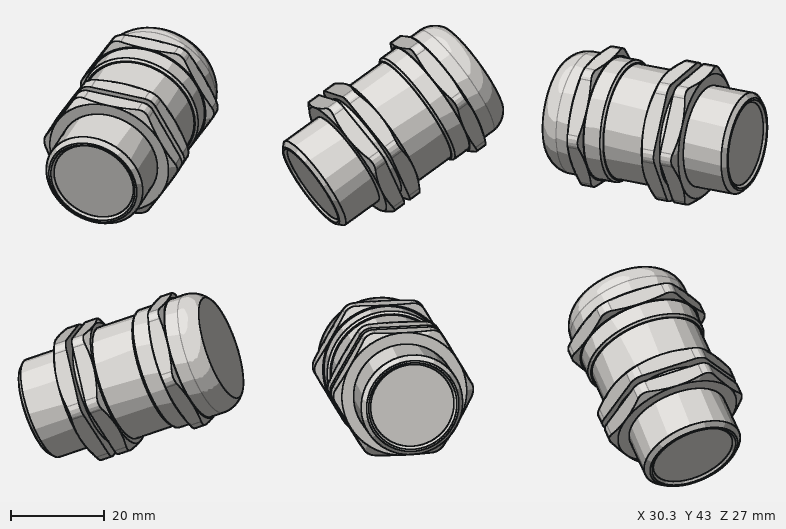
import cadquery as cq
import math

total_length = 42.95
hex_flats = 27.0
hex_corners = 30.25

thread_diameter = 22.0
thread_chamfer = 1.0
recess_mouth_diameter = 19.1
recess_floor_diameter = 18.05
recess_depth = (recess_mouth_diameter - recess_floor_diameter) / 2

hex_thickness = 3.6
lock_nut_start = 9.87
seal_start = lock_nut_start + hex_thickness
seal_width = 1.45
body_hex_start = seal_start + seal_width
body_hex_end = body_hex_start + hex_thickness
cap_start = 27.95
cap_hex_start = 32.25
dome_height = 4.08

seal_diameter = 24.3
seal_inset = 0.6
body_diameter = 25.0
cap_diameter = 26.5
cap_chamfer = 0.5
dome_face_diameter = 22.55

nut_bevel_angle = 30
cap_bevel_angle = 20
envelope_margin = 0.45


def cylinder(diameter, start, end):
    """Solid cylinder on the Y axis between two stations."""
    return cq.Workplane("XZ", origin=(0, start, 0)).circle(diameter / 2).extrude(start - end)


def bevel_envelope(start, bevel_angle, bevel_start, bevel_end):
    """Revolved envelope whose cones trim the hexagon corners at the chosen ends."""
    flat_radius = hex_flats / 2
    outer_radius = hex_corners / 2 + envelope_margin
    drop = (outer_radius - flat_radius) * math.tan(math.radians(bevel_angle))
    end = start + hex_thickness
    profile = cq.Workplane("XY").moveTo(0, start)
    if bevel_start:
        profile = profile.lineTo(flat_radius, start).lineTo(outer_radius, start + drop)
    else:
        profile = profile.lineTo(outer_radius, start)
    if bevel_end:
        profile = profile.lineTo(outer_radius, end - drop).lineTo(flat_radius, end)
    else:
        profile = profile.lineTo(outer_radius, end)
    return profile.lineTo(0, end).close().revolve(360, (0, 0, 0), (0, 1, 0))


def hexagon(start, bevel_angle, bevel_start=False, bevel_end=False):
    """Hexagon with rounded edges, corners along X and flats facing Z."""
    sharp_corners = hex_flats / math.cos(math.pi / 6)
    edge_round = (sharp_corners - hex_corners) / 2 / (1 / math.cos(math.pi / 6) - 1)
    prism = (
        cq.Workplane("XZ", origin=(0, start, 0))
        .polygon(6, sharp_corners)
        .extrude(-hex_thickness)
        .edges("|Y")
        .fillet(edge_round)
    )
    return prism.intersect(bevel_envelope(start, bevel_angle, bevel_start, bevel_end))


def threaded_end():
    """Chamfered spigot with a shallow conical recess in its end face."""
    spigot = cylinder(thread_diameter, 0, body_hex_start).faces("<Y").chamfer(thread_chamfer)
    recess = (
        cq.Workplane("XZ")
        .circle(recess_mouth_diameter / 2)
        .workplane(offset=-recess_depth)
        .circle(recess_floor_diameter / 2)
        .loft()
    )
    return spigot.cut(recess)


def curve_middle(radius, station, inset, rise):
    """Middle point of an arc that leaves a cylinder side tangentially and falls inward by inset."""
    arc_radius = (inset**2 + rise**2) / (2 * inset)
    half_angle = math.asin(rise / arc_radius) / 2
    return (
        radius - arc_radius * (1 - math.cos(half_angle)),
        station + arc_radius * math.sin(half_angle),
    )


def seal_ring():
    """Sealing ring that curves inward towards the lock nut."""
    radius = seal_diameter / 2
    arc_middle = curve_middle(radius, body_hex_start, seal_inset, -seal_width)
    return (
        cq.Workplane("XY")
        .moveTo(0, body_hex_start)
        .lineTo(radius, body_hex_start)
        .threePointArc(arc_middle, (radius - seal_inset, seal_start))
        .lineTo(0, seal_start)
        .close()
        .revolve(360, (0, 0, 0), (0, 1, 0))
    )


def cap():
    """Clamping cap with a chamfered rim and a domed end cut off by a flat face."""
    radius = cap_diameter / 2
    face_radius = dome_face_diameter / 2
    dome_start = total_length - dome_height
    arc_middle = curve_middle(radius, dome_start, radius - face_radius, dome_height)
    return (
        cq.Workplane("XY")
        .moveTo(0, cap_start)
        .lineTo(radius - cap_chamfer, cap_start)
        .lineTo(radius, cap_start + cap_chamfer)
        .lineTo(radius, dome_start)
        .threePointArc(arc_middle, (face_radius, total_length))
        .lineTo(0, total_length)
        .close()
        .revolve(360, (0, 0, 0), (0, 1, 0))
    )


result = (
    threaded_end()
    .union(hexagon(lock_nut_start, nut_bevel_angle, bevel_start=True))
    .union(seal_ring())
    .union(hexagon(body_hex_start, nut_bevel_angle, bevel_end=True))
    .union(cylinder(body_diameter, body_hex_end, cap_start))
    .union(cap())
    .union(hexagon(cap_hex_start, cap_bevel_angle, bevel_start=True, bevel_end=True))
)